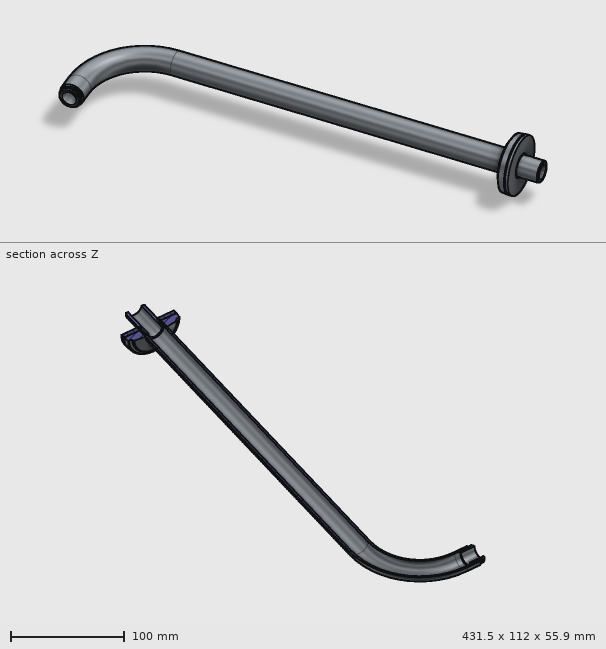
import cadquery as cq


tube_diameter = 23.0
tube_bore = 18.0
bend_radius = 64.0
wall_to_outlet_edge = 411.0
outlet_axis_x = tube_diameter / 2 - wall_to_outlet_edge
bend_start_x = outlet_axis_x + bend_radius
outlet_straight = 15.7
tube_end_y = -(bend_radius + outlet_straight)
tube_end_chamfer = 1.2

spigot_diameter = 20.8
spigot_bore = 14.0
spigot_end_y = -84.0
spigot_insertion = 10.0
spigot_chamfer = 1.2
seal_length = 1.3
seal_bore = 18.0

nipple_diameter = 20.5
nipple_bore = 14.0
nipple_length = 20.5
nipple_chamfer = 0.9
nipple_insertion = 12.0

flange_diameter = 55.9
plate_front_diameter = 54.6
plate_shoulder_diameter = 52.5
plate_step_diameter = 46.5
plate_face_diameter = 44.5
plate_lip_diameter = 24.0
ring_thickness = 3.2
ring_neck = 0.8
ring_neck_diameter = 54.0
plate_back_x = -ring_thickness - ring_neck
plate_rim_x = -10.0
plate_shoulder_x = -10.4
plate_step_x = -12.0
plate_face_x = -12.8
plate_lip_x = -14.0


def revolve_about_x(half_profile):
    """Turn a closed profile of (X, radius) points about the wall axis."""
    return cq.Workplane("XY").polyline(half_profile).close().revolve(360, (0, 0, 0), (1, 0, 0))


def outlet_cylinder(diameter, start_y, end_y):
    """Cylinder on the outlet axis, running down from start_y to end_y."""
    return (
        cq.Workplane("XZ", origin=(outlet_axis_x, start_y, 0))
        .circle(diameter / 2)
        .extrude(start_y - end_y)
    )


def sweep_arm(diameter):
    """Solid rod along the arm's centre line, from the wall to the outlet."""
    centre_line = (
        cq.Workplane("XY")
        .lineTo(bend_start_x, 0)
        .radiusArc((outlet_axis_x, -bend_radius), -bend_radius)
        .lineTo(outlet_axis_x, tube_end_y)
    )
    return cq.Workplane("YZ").circle(diameter / 2).sweep(centre_line)


def make_tube():
    rod = sweep_arm(tube_diameter).faces("<Y").chamfer(tube_end_chamfer)
    return rod.cut(sweep_arm(tube_bore))


def make_spigot():
    root_y = tube_end_y + spigot_insertion
    head = outlet_cylinder(spigot_diameter, tube_end_y, spigot_end_y)
    head = head.faces("<Y").chamfer(spigot_chamfer)
    shank = outlet_cylinder(tube_bore, root_y, tube_end_y)
    bore = outlet_cylinder(spigot_bore, root_y, spigot_end_y)
    seal_groove = make_seal()
    return head.union(shank).cut(bore).cut(seal_groove)


def make_seal():
    seal_end_y = tube_end_y - seal_length
    ring = outlet_cylinder(spigot_diameter, tube_end_y, seal_end_y)
    return ring.cut(outlet_cylinder(seal_bore, tube_end_y, seal_end_y))


def make_nipple():
    threaded_end = cq.Workplane("YZ").circle(nipple_diameter / 2).extrude(nipple_length)
    threaded_end = threaded_end.faces(">X").chamfer(nipple_chamfer)
    shank = cq.Workplane("YZ").circle(tube_bore / 2).extrude(-nipple_insertion)
    bore = cq.Workplane("YZ", origin=(-nipple_insertion, 0, 0)).circle(nipple_bore / 2)
    return threaded_end.union(shank).cut(bore.extrude(nipple_insertion + nipple_length))


def make_cover_plate():
    return revolve_about_x([
        (plate_back_x, tube_diameter / 2),
        (plate_back_x, flange_diameter / 2),
        (plate_rim_x, plate_front_diameter / 2),
        (plate_shoulder_x, plate_shoulder_diameter / 2),
        (plate_shoulder_x, plate_step_diameter / 2),
        (plate_step_x, plate_step_diameter / 2),
        (plate_face_x, plate_face_diameter / 2),
        (plate_lip_x, plate_lip_diameter / 2),
        (plate_lip_x, tube_diameter / 2),
    ])


def make_backing_ring():
    return revolve_about_x([
        (0, tube_diameter / 2),
        (0, flange_diameter / 2),
        (-ring_thickness, flange_diameter / 2),
        (-ring_thickness, ring_neck_diameter / 2),
        (plate_back_x, ring_neck_diameter / 2),
        (plate_back_x, tube_diameter / 2),
    ])


tube = make_tube()
spigot = make_spigot()
seal = make_seal()
nipple = make_nipple()
cover_plate = make_cover_plate()
backing_ring = make_backing_ring()

result = cq.Compound.makeCompound([
    tube.val(),
    spigot.val(),
    seal.val(),
    nipple.val(),
    cover_plate.val(),
    backing_ring.val(),
])